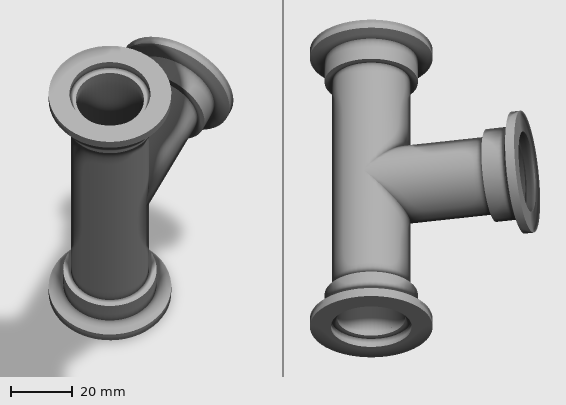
import cadquery as cq

arm_length = 51.8
tube_diameter = 25.4
bore_diameter = 22.1

flange_diameter = 39.9
rim_thickness = 3.0
cone_depth = 4.4
flange_length = 11.9
collar_diameter = 30.4
recess_diameter = 26.3
recess_depth = 3.0
lip_thickness = 1.7

socket_depth = recess_depth + lip_thickness
tube_length = arm_length - socket_depth

UP = (0, 0, 1)
DOWN = (0, 0, -1)
BACK = (0, 1, 0)


def arm_cylinder(direction, diameter, length):
    """Cylinder from the tee centre out along one arm."""
    return cq.Workplane(cq.Solid.makeCylinder(
        diameter / 2, length, cq.Vector(0, 0, 0), cq.Vector(*direction)))


def make_tee_tube():
    """Through tube with a side branch, bored along all three arms."""
    tube = arm_cylinder(UP, tube_diameter, tube_length)
    for direction in (DOWN, BACK):
        tube = tube.union(arm_cylinder(direction, tube_diameter, tube_length))
    for direction in (UP, DOWN, BACK):
        tube = tube.cut(arm_cylinder(direction, bore_diameter, arm_length))
    return tube


def make_flange(direction):
    """Clamp flange with a tapered back, an inner stop lip and a collar around the tube end."""
    plane = cq.Plane(
        origin=tuple(arm_length * part for part in direction),
        xDir=(1, 0, 0),
        normal=tuple(-part for part in direction),
    )
    section = (
        cq.Workplane("XZ")
        .moveTo(recess_diameter / 2, 0)
        .lineTo(flange_diameter / 2, 0)
        .lineTo(flange_diameter / 2, rim_thickness)
        .lineTo(collar_diameter / 2, cone_depth)
        .lineTo(collar_diameter / 2, flange_length)
        .lineTo(tube_diameter / 2, flange_length)
        .lineTo(tube_diameter / 2, socket_depth)
        .lineTo(bore_diameter / 2, socket_depth)
        .lineTo(bore_diameter / 2, recess_depth)
        .lineTo(recess_diameter / 2, recess_depth)
        .close()
    )
    ring = section.revolve(360, (0, 0, 0), (0, 1, 0))
    return cq.Workplane(ring.val().moved(cq.Location(plane)))


tee_tube = make_tee_tube()
flanges = [make_flange(direction) for direction in (UP, DOWN, BACK)]

result = cq.Compound.makeCompound([tee_tube.val(), *[flange.val() for flange in flanges]])